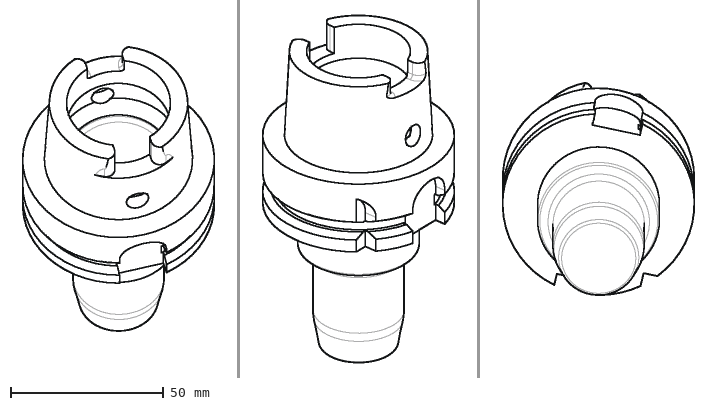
import cadquery as cq
import math


shank_height = 32.0
shank_base_diameter = 48.64
shank_taper = 0.1
mouth_diameter = 34.05
mouth_depth = 13.0
recess_diameter = 40.08
recess_end_z = 6.3
recess_end_angle = 30.0
bore_floor_z = -1.0
bore_floor_fillet = 1.35
cross_hole_diameter = 7.5
cross_hole_z = 9.0

flange_diameter = 62.94
flange_height = 26.0
groove_diameter = 55.0
groove_center_z = -18.0
groove_floor_width = 3.75
groove_mouth_width = 6.85
groove_lip_depth = 2.6

arch_width = 16.0
arch_top_z = -5.0
drive_flat_x = 26.5
notch_flat_x = 20.0
notch_wall_y = 19.7

key_width = 12.5
key_corner_start_x = 17.9
key_corner_radius = 2.9
key_flare_angle = 27.0
key_flare_length = 6.0
shallow_key_depth = 6.0
deep_key_depth = 10.0
shallow_key_fillet = 1.35

overall_height = 111.9
body_diameter = 40.0
body_end_z = -42.1
nose_diameter = 30.0
shoulder_slope = 20.0
shoulder_outer_fillet = 1.0
shoulder_inner_fillet = 2.5
tip_taper_z = -68.65
tip_angle = 10.0
tip_blend_radius = 19.0
tip_end_fillet = 1.0

flange_radius = flange_diameter / 2
body_radius = body_diameter / 2
nose_radius = nose_diameter / 2
tip_z = shank_height - overall_height


def revolve_profile(points):
    """Solid of revolution about Z from (radius, z) points."""
    return cq.Workplane("XZ").polyline(points).close().revolve(360, (0, 0, 0), (0, 1, 0))


def fillet_ring(solid, z, size):
    """Round the circular edge lying at height z."""
    slab = 2 * flange_diameter
    tolerance = 0.01
    ring = cq.selectors.BoxSelector((-slab, -slab, z - tolerance), (slab, slab, z + tolerance))
    return solid.edges("%CIRCLE").edges(ring).fillet(size)


def make_shank():
    base_radius = shank_base_diameter / 2
    end_radius = base_radius - shank_taper * shank_height / 2
    return revolve_profile([(0, 0), (base_radius, 0), (end_radius, shank_height), (0, shank_height)])


def make_flange():
    lip_radius = flange_radius - groove_lip_depth
    groove_radius = groove_diameter / 2
    half_floor = groove_floor_width / 2
    half_mouth = groove_mouth_width / 2
    return revolve_profile([
        (0, 0),
        (flange_radius, 0),
        (flange_radius, groove_center_z + half_mouth),
        (lip_radius, groove_center_z + half_floor),
        (groove_radius, groove_center_z + half_floor),
        (groove_radius, groove_center_z - half_floor),
        (lip_radius, groove_center_z - half_floor),
        (flange_radius, groove_center_z - half_mouth),
        (flange_radius, -flange_height),
        (0, -flange_height),
    ])


def make_nose():
    shoulder_drop = (body_radius - nose_radius) * math.tan(math.radians(shoulder_slope))
    shoulder_z = body_end_z - shoulder_drop
    tip_radius = nose_radius - (tip_taper_z - tip_z) * math.tan(math.radians(tip_angle))
    nose = revolve_profile([
        (0, -flange_height),
        (body_radius, -flange_height),
        (body_radius, body_end_z),
        (nose_radius, shoulder_z),
        (nose_radius, tip_taper_z),
        (tip_radius, tip_z),
        (0, tip_z),
    ])
    nose = fillet_ring(nose, body_end_z, shoulder_outer_fillet)
    nose = fillet_ring(nose, shoulder_z, shoulder_inner_fillet)
    nose = fillet_ring(nose, tip_taper_z, tip_blend_radius)
    return fillet_ring(nose, tip_z, tip_end_fillet)


def make_bore():
    """Cylindrical mouth, wider recess closing in along a cone, and rounded floor."""
    mouth_radius = mouth_diameter / 2
    recess_radius = recess_diameter / 2
    recess_top_z = shank_height - mouth_depth
    neck_z = recess_end_z - (recess_radius - mouth_radius) / math.tan(math.radians(recess_end_angle))
    bore = revolve_profile([
        (0, shank_height),
        (mouth_radius, shank_height),
        (mouth_radius, recess_top_z),
        (recess_radius, recess_top_z),
        (recess_radius, recess_end_z),
        (mouth_radius, neck_z),
        (mouth_radius, bore_floor_z),
        (0, bore_floor_z),
    ])
    return fillet_ring(bore, bore_floor_z, bore_floor_fillet)


def make_cross_hole():
    hole = cq.Workplane("YZ").center(0, cross_hole_z).circle(cross_hole_diameter / 2)
    return hole.extrude(shank_base_diameter / 2, both=True)


def make_key_slot(depth):
    """Slot on the +X side whose outer corners are rounded and then flare along a tangent."""
    half_width = key_width / 2
    inner_x = mouth_diameter / 4
    outer_x = flange_radius
    center_x = key_corner_start_x
    center_y = half_width + key_corner_radius
    flare = math.radians(key_flare_angle)

    def corner_point(angle):
        x = center_x + key_corner_radius * math.cos(angle)
        y = center_y + key_corner_radius * math.sin(angle)
        return x, y

    def mirrored(point):
        return point[0], -point[1]

    corner_start = (center_x, half_width)
    corner_middle = corner_point(0)
    corner_end = corner_point(flare)
    flare_x = corner_end[0] - key_flare_length * math.sin(flare)
    flare_y = corner_end[1] + key_flare_length * math.cos(flare)

    outline = (
        cq.Workplane("XY", origin=(0, 0, shank_height - depth))
        .moveTo(inner_x, half_width)
        .lineTo(*corner_start)
        .threePointArc(corner_middle, corner_end)
        .lineTo(flare_x, flare_y)
        .lineTo(outer_x, flare_y)
        .lineTo(outer_x, -flare_y)
        .lineTo(flare_x, -flare_y)
        .lineTo(*mirrored(corner_end))
        .threePointArc(mirrored(corner_middle), mirrored(corner_start))
        .lineTo(inner_x, -half_width)
        .close()
    )
    return outline.extrude(depth)


def make_shallow_key_slot():
    """Key slot turned to the -X side, with its floor blended into its walls."""
    slot = make_key_slot(shallow_key_depth).rotate((0, 0, 0), (0, 0, 1), 180)
    return slot.faces("<Z").edges().fillet(shallow_key_fillet)


def make_arch_slot(flat_x, center_y):
    """Round-topped cut through the flange rim on the +X side, open downward, with a floor at flat_x."""
    radius = arch_width / 2
    outline = (
        cq.Workplane("YZ", origin=(flat_x, center_y, arch_top_z))
        .moveTo(-radius, -radius)
        .threePointArc((0, 0), (radius, -radius))
        .lineTo(radius, -flange_height)
        .lineTo(-radius, -flange_height)
        .close()
    )
    return outline.extrude(flange_radius)


def make_rim_slots():
    """Two opposite drive slots and one off-center notch on the -X, +Y side."""
    drive_slot = make_arch_slot(drive_flat_x, 0)
    notch = make_arch_slot(notch_flat_x, notch_wall_y + arch_width / 2)
    return drive_slot.union(drive_slot.mirror("YZ")).union(notch.mirror("YZ"))


flange = make_flange().cut(make_rim_slots())
result = make_shank().union(flange).union(make_nose())
result = result.cut(make_bore()).cut(make_cross_hole())
result = result.cut(make_key_slot(deep_key_depth)).cut(make_shallow_key_slot())